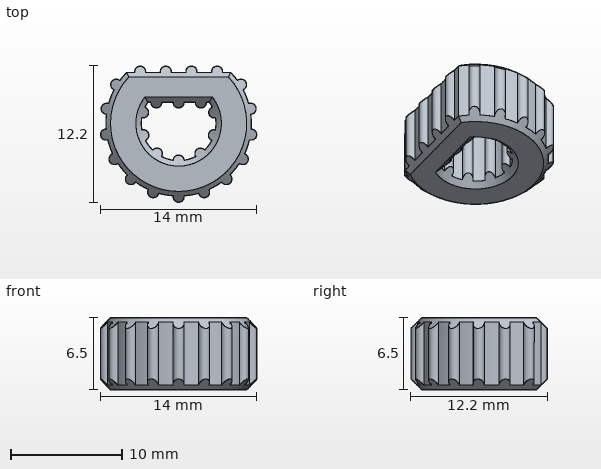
import cadquery as cq
import math

height = 6.5

outer_radius = 6.535
outer_flat_y = 4.585
outer_rib_offset = 0.055
outer_arc_ribs_per_side = 6
outer_arc_rib_pitch_deg = 20.3
outer_flat_ribs = 4
outer_flat_rib_pitch = 2.3

bore_radius = 3.34
bore_flat_y = 1.88
bore_arc_ribs_per_side = 3
bore_arc_rib_pitch_deg = 35.7
bore_flat_ribs = 3
bore_flat_rib_pitch = 2.0

rib_radius = 0.5
outer_chamfer = 0.98
bore_chamfer = 1.0


def d_prism(radius, flat_y):
    """D-shaped prism: an arc about the Z axis closed by a flat on the +Y side."""
    half_flat = math.sqrt(radius**2 - flat_y**2)
    return (
        cq.Workplane("XY")
        .moveTo(-half_flat, flat_y)
        .threePointArc((0, -radius), (half_flat, flat_y))
        .close()
        .extrude(height)
    )


def d_frustum(top_radius, top_flat_y, rise):
    """D-shaped frustum standing on Z = 0 whose sides and flat slope inwards at 45 degrees over the rise."""
    bottom_radius = top_radius + rise
    cone = cq.Workplane(cq.Solid.makeCone(bottom_radius, top_radius, rise))
    flat_side = (
        cq.Workplane("YZ", origin=(-bottom_radius, 0, 0))
        .moveTo(-bottom_radius, 0)
        .lineTo(top_flat_y + rise, 0)
        .lineTo(top_flat_y, rise)
        .lineTo(-bottom_radius, rise)
        .close()
        .extrude(2 * bottom_radius)
    )
    return cone.intersect(flat_side)


def upside_down(solid):
    """Mirror a solid about the mid-height plane of the ring."""
    return solid.mirror("XY", (0, 0, height / 2))


def rib_centres(radius, flat_y, per_side, pitch_deg, flat_count, flat_pitch):
    """Rib centres along the arc, symmetric about -Y, and along the flat, symmetric about X = 0."""
    centres = []
    for i in range(-per_side, per_side + 1):
        angle = math.radians(i * pitch_deg)
        centres.append((radius * math.sin(angle), -radius * math.cos(angle)))
    for i in range(flat_count):
        centres.append(((i - (flat_count - 1) / 2) * flat_pitch, flat_y))
    return centres


def ribs(centres):
    return cq.Workplane("XY").pushPoints(centres).circle(rib_radius).extrude(height)


def make_outer_body():
    centres = rib_centres(
        outer_radius + outer_rib_offset, outer_flat_y + outer_rib_offset,
        outer_arc_ribs_per_side, outer_arc_rib_pitch_deg,
        outer_flat_ribs, outer_flat_rib_pitch,
    )
    body = d_prism(outer_radius, outer_flat_y).union(ribs(centres))
    end_inset = outer_chamfer - rib_radius - outer_rib_offset
    envelope = d_frustum(outer_radius - end_inset, outer_flat_y - end_inset, height)
    return body.intersect(envelope).intersect(upside_down(envelope))


def make_bore():
    centres = rib_centres(
        bore_radius, bore_flat_y,
        bore_arc_ribs_per_side, bore_arc_rib_pitch_deg,
        bore_flat_ribs, bore_flat_rib_pitch,
    )
    bore = d_prism(bore_radius, bore_flat_y).cut(ribs(centres))
    crest_radius = bore_radius - rib_radius
    crest_flat_y = bore_flat_y - rib_radius
    flare = d_frustum(crest_radius, crest_flat_y, bore_chamfer)
    return bore.union(flare).union(upside_down(flare))


result = make_outer_body().cut(make_bore())